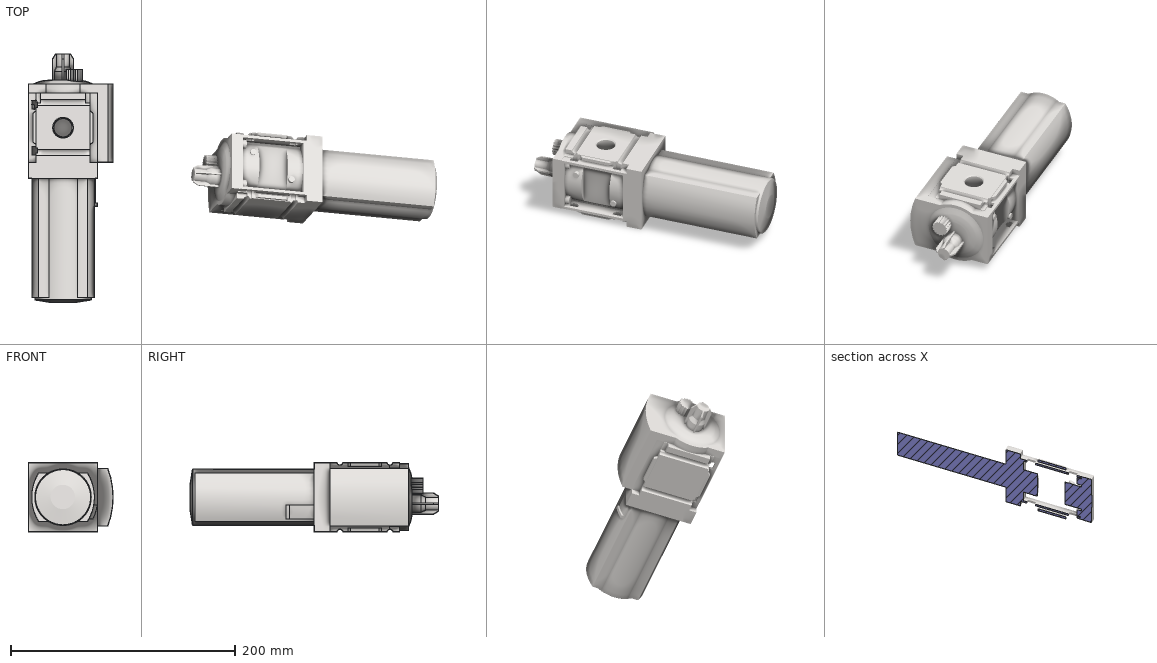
import cadquery as cq
import math

BODY_WIDTH = 62.0
HALF_WIDTH = BODY_WIDTH / 2
HEAD_LENGTH = 14.5
CORE_END = 76.4
BODY_LENGTH = 84.4
HOUSING_HALF_HEIGHT = 25.8
STRIP_HALF_HEIGHT = 25.5
CORE_HALF_WIDTH = 24.0
BAND_RADIUS = 30.0

COVER_EDGE_X = 40.0
OVERALL_WIDTH = 75.7
COVER_X = OVERALL_WIDTH - HALF_WIDTH

PORT_Y = 45.3
PORT_RADIUS = 8.2
PORT_BEVEL = 1.0
PORT_DEPTH = 17.8
GROOVE_WIDTH = 5.3
GROOVE_DEPTH = 2.2
GROOVE_CENTERS_Y = (23.0, 67.7)
NOTCH_HALF_WIDTH = 20.0
NOTCH_START = 67.5
NOTCH_FLOOR = 26.2
LEDGE_REACH = 2.9
LEDGE_BOTTOM = 27.5
LEDGE_TOP = 30.5
LEDGE_HALF_LENGTH = 15.0
LEDGE_BEVEL = 2.2

SLOT_OUTER_X = 27.8
SLOT_TIP_X = 22.6
SLOT_LENGTH = 7.8
SLOT_TIP_LENGTH = 4.7
SLOT_CENTERS_Y = (24.9, 65.7)

POCKET_START = 17.5
POCKET_END = 73.7
POCKET_HALF_HEIGHT = 23.0
POCKET_FLOOR_X = -19.3
DRUM_RADIUS = 28.9
WINDOW_FLOOR_X = -21.5
WINDOW_START = 31.3
WINDOW_END = 58.0
PIN_RADIUS = 5.5 / 2
PIN_TIP_X = -28.9
PIN_OFFSET_Y = 17.8
PIN_OFFSET_Z = 11.0
STUD_RADIUS = 4.0
STUD_LENGTH = 4.0
STUD_X = -24.9
STUD_Z = 18.9

BOWL_RADIUS = 50.5 / 2
BOWL_END = -110.8
BOWL_RIM = -108.5
BOWL_CHAMFER = 0.55
BOWL_TIP_RADIUS = 10.9
GUARD_END = -106.3
GUARD_HALF_WIDTH = 28.0
GUARD_HALF_FLAT = 21.8
GUARD_SAGITTA = GUARD_HALF_WIDTH - GUARD_HALF_FLAT
GUARD_RADIUS = (GUARD_HALF_FLAT**2 + GUARD_SAGITTA**2) / (2 * GUARD_SAGITTA)
GUARD_CENTER_X = GUARD_HALF_WIDTH - GUARD_RADIUS

LATCH_TOP = -6.9
LATCH_BOTTOM = -19.3
LATCH_THICKNESS = 1.5
LATCH_LIP_THICKNESS = 3.0
LATCH_LIP_START = -21.8
LATCH_END = -24.9

DOME_RADIUS = 26.6
DOME_FLAT_RADIUS = 13.3
DOME_TOP = 87.7
DOME_MIDDLE_RADIUS = 19.8
DOME_MIDDLE_Y = 86.8
KNOB_Z = -5.8
KNOB_END = 111.2
KNOB_TIP_RADIUS = 5.8
KNOB_BASE_RADIUS = 7.8
KNOB_CONE_START = 95.7
KNOB_CONE_END = 99.7
FIN_HALF_WIDTH = 9.5
FIN_THICKNESS = 1.5
FIN_BEVEL_WIDTH = 2.9
FIN_BEVEL_LENGTH = 4.7
KNURL_OFFSET = 10.0
KNURL_RADIUS = 7.3
KNURL_END = 97.5
KNURL_TEETH = 16
KNURL_TOOTH_DEPTH = 1.0


def block(x0, x1, y0, y1, z0, z1):
    """Box between opposite corner coordinates."""
    return cq.Workplane("XY").box(x1 - x0, y1 - y0, z1 - z0, centered=False).translate((x0, y0, z0))


def section_at(y):
    """Plane across the bowl axis: local x is X, local y is Z, positive extrusion runs toward -Y."""
    return cq.Workplane(cq.Plane(origin=(0, y, 0), xDir=(1, 0, 0), normal=(0, -1, 0)))


def rod(radius, y0, y1, x=0.0, z=0.0):
    """Cylinder along Y."""
    return section_at(y0).center(x, z).circle(radius).extrude(y0 - y1)


def mirrored(shape, plane):
    return shape.union(shape.mirror(plane))


def revolved_about_y(profile):
    return profile.close().revolve(360, (0, 0, 0), (0, 1, 0))


def make_housing():
    """Housing with the domed side cover, the square head and the rounded rear band."""
    housing = (
        section_at(HEAD_LENGTH)
        .moveTo(-HALF_WIDTH, -HOUSING_HALF_HEIGHT)
        .lineTo(COVER_EDGE_X, -HOUSING_HALF_HEIGHT)
        .threePointArc((COVER_X, 0), (COVER_EDGE_X, HOUSING_HALF_HEIGHT))
        .lineTo(-HALF_WIDTH, HOUSING_HALF_HEIGHT)
        .close()
        .extrude(HEAD_LENGTH - BODY_LENGTH)
    )
    head = block(-HALF_WIDTH, HALF_WIDTH, 0, HEAD_LENGTH, -HALF_WIDTH, HALF_WIDTH)
    band = rod(BAND_RADIUS, CORE_END, BODY_LENGTH)
    sunk_strip = block(
        -HALF_WIDTH, HALF_WIDTH, HEAD_LENGTH, CORE_END, STRIP_HALF_HEIGHT, HALF_WIDTH
    )
    return housing.union(band).cut(mirrored(sunk_strip, "XY")).union(head)


def make_core():
    """Raised core, the same on +Z and -Z, with grooves, rear notches and ledges."""
    core = block(
        -CORE_HALF_WIDTH, CORE_HALF_WIDTH, HEAD_LENGTH, CORE_END, -HALF_WIDTH, HALF_WIDTH
    )
    notch = block(
        NOTCH_HALF_WIDTH, HALF_WIDTH, NOTCH_START, CORE_END, NOTCH_FLOOR, HALF_WIDTH
    )
    core = core.cut(mirrored(mirrored(notch, "YZ"), "XY"))

    for y in GROOVE_CENTERS_Y:
        groove = (
            cq.Workplane("YZ", origin=(-CORE_HALF_WIDTH, 0, 0))
            .moveTo(y - GROOVE_WIDTH / 2, HALF_WIDTH)
            .threePointArc((y, HALF_WIDTH - GROOVE_DEPTH), (y + GROOVE_WIDTH / 2, HALF_WIDTH))
            .close()
            .extrude(2 * CORE_HALF_WIDTH)
        )
        core = core.cut(mirrored(groove, "XY"))

    ledge_x = CORE_HALF_WIDTH + LEDGE_REACH
    ledge_tip = LEDGE_HALF_LENGTH - LEDGE_BEVEL
    ledge = (
        cq.Workplane("XY", origin=(0, PORT_Y, LEDGE_BOTTOM))
        .polyline([
            (0, -LEDGE_HALF_LENGTH),
            (CORE_HALF_WIDTH, -LEDGE_HALF_LENGTH),
            (ledge_x, -ledge_tip),
            (ledge_x, ledge_tip),
            (CORE_HALF_WIDTH, LEDGE_HALF_LENGTH),
            (0, LEDGE_HALF_LENGTH),
        ])
        .close()
        .extrude(LEDGE_TOP - LEDGE_BOTTOM)
    )
    core = core.union(mirrored(mirrored(ledge, "YZ"), "XY"))
    return core


def make_slots():
    """T-shaped slots into the pocket from +Z and -Z, level with the core grooves."""
    slots = cq.Workplane("XY")
    for y in SLOT_CENTERS_Y:
        wide = block(
            -SLOT_OUTER_X, -CORE_HALF_WIDTH, y - SLOT_LENGTH / 2, y + SLOT_LENGTH / 2,
            POCKET_HALF_HEIGHT, HALF_WIDTH,
        )
        tip = block(
            -SLOT_OUTER_X, -SLOT_TIP_X, y - SLOT_TIP_LENGTH / 2, y + SLOT_TIP_LENGTH / 2,
            POCKET_HALF_HEIGHT, HALF_WIDTH,
        )
        slots = slots.union(mirrored(wide.union(tip), "XY"))
    return slots


def make_port():
    """Blind port in the +Z face with a bevelled mouth."""
    bore = (
        cq.Workplane("XY", origin=(0, PORT_Y, HALF_WIDTH - PORT_DEPTH))
        .circle(PORT_RADIUS)
        .extrude(PORT_DEPTH)
    )
    mouth = (
        cq.Workplane("XY", origin=(0, PORT_Y, HALF_WIDTH - PORT_BEVEL))
        .circle(PORT_RADIUS)
        .workplane(offset=PORT_BEVEL)
        .circle(PORT_RADIUS + PORT_BEVEL)
        .loft()
    )
    return bore.union(mouth)


def make_pocket():
    """Space removed from the -X side around the drum, its pins and its studs."""
    middle_y = (POCKET_START + POCKET_END) / 2
    pocket = block(
        -HALF_WIDTH, POCKET_FLOOR_X, POCKET_START, POCKET_END,
        -POCKET_HALF_HEIGHT, POCKET_HALF_HEIGHT,
    )
    window = block(
        -HALF_WIDTH, WINDOW_FLOOR_X, WINDOW_START, WINDOW_END,
        -POCKET_HALF_HEIGHT, POCKET_HALF_HEIGHT,
    )
    drum = rod(DRUM_RADIUS, POCKET_START, POCKET_END).cut(window)
    pocket = pocket.cut(drum)

    for side in (-1, 1):
        pin = (
            cq.Workplane("YZ", origin=(PIN_TIP_X, 0, 0))
            .center(middle_y + side * PIN_OFFSET_Y, side * PIN_OFFSET_Z)
            .circle(PIN_RADIUS)
            .extrude(POCKET_FLOOR_X - PIN_TIP_X)
        )
        stud = rod(STUD_RADIUS, POCKET_END - STUD_LENGTH, POCKET_END, STUD_X, side * STUD_Z)
        pocket = pocket.cut(pin).cut(stud)
    return pocket


def make_bowl():
    """Round bowl with a shallow conical end, inside a flat-sided guard."""
    bowl = revolved_about_y(
        cq.Workplane("XY").polyline([
            (0, 0),
            (BOWL_RADIUS, 0),
            (BOWL_RADIUS, BOWL_RIM + BOWL_CHAMFER),
            (BOWL_RADIUS - BOWL_CHAMFER, BOWL_RIM),
            (BOWL_TIP_RADIUS, BOWL_END),
            (0, BOWL_END),
        ])
    )
    guard = (
        section_at(GUARD_END)
        .moveTo(-GUARD_HALF_FLAT, -GUARD_HALF_FLAT)
        .lineTo(GUARD_HALF_FLAT, -GUARD_HALF_FLAT)
        .threePointArc((GUARD_HALF_WIDTH, 0), (GUARD_HALF_FLAT, GUARD_HALF_FLAT))
        .lineTo(-GUARD_HALF_FLAT, GUARD_HALF_FLAT)
        .threePointArc((-GUARD_HALF_WIDTH, 0), (-GUARD_HALF_FLAT, -GUARD_HALF_FLAT))
        .close()
        .extrude(GUARD_END)
    )
    return bowl.union(guard)


def make_latch():
    """Latch strip that follows the round side of the guard and ends in a thicker lip."""
    clip = block(0, HALF_WIDTH, LATCH_END, 0, LATCH_BOTTOM, LATCH_TOP)
    strip = rod(GUARD_RADIUS + LATCH_THICKNESS, LATCH_END, 0, GUARD_CENTER_X)
    lip = rod(GUARD_RADIUS + LATCH_LIP_THICKNESS, LATCH_END, LATCH_LIP_START, GUARD_CENTER_X)
    return strip.union(lip).intersect(clip)


def make_dome():
    """Flat-topped dome with a rounded shoulder."""
    return revolved_about_y(
        cq.Workplane("XY")
        .moveTo(0, CORE_END)
        .lineTo(DOME_RADIUS, CORE_END)
        .lineTo(DOME_RADIUS, BODY_LENGTH)
        .threePointArc((DOME_MIDDLE_RADIUS, DOME_MIDDLE_Y), (DOME_FLAT_RADIUS, DOME_TOP))
        .lineTo(0, DOME_TOP)
    )


def make_finned_knob():
    """Stepped round post with four bevelled fins."""
    post = revolved_about_y(
        cq.Workplane("XY").polyline([
            (0, BODY_LENGTH),
            (KNOB_BASE_RADIUS, BODY_LENGTH),
            (KNOB_BASE_RADIUS, KNOB_CONE_START),
            (KNOB_TIP_RADIUS, KNOB_CONE_END),
            (KNOB_TIP_RADIUS, KNOB_END),
            (0, KNOB_END),
        ])
    )
    tip = FIN_HALF_WIDTH - FIN_BEVEL_WIDTH
    shoulder = KNOB_END - FIN_BEVEL_LENGTH
    fin = (
        cq.Workplane("XY")
        .polyline([
            (-FIN_HALF_WIDTH, BODY_LENGTH),
            (FIN_HALF_WIDTH, BODY_LENGTH),
            (FIN_HALF_WIDTH, shoulder),
            (tip, KNOB_END),
            (-tip, KNOB_END),
            (-FIN_HALF_WIDTH, shoulder),
        ])
        .close()
        .extrude(FIN_THICKNESS / 2, both=True)
    )
    cross_fin = fin.rotate((0, 0, 0), (0, 1, 0), 90)
    return post.union(fin).union(cross_fin).translate((0, 0, KNOB_Z))


def make_knurled_knob():
    """Toothed knob: a star outline with alternating crest and root points."""
    outline = []
    for step in range(2 * KNURL_TEETH):
        radius = KNURL_RADIUS - KNURL_TOOTH_DEPTH * (step % 2)
        angle = math.pi * step / KNURL_TEETH
        outline.append((radius * math.cos(angle), radius * math.sin(angle)))
    return (
        section_at(BODY_LENGTH)
        .center(KNURL_OFFSET, KNURL_OFFSET)
        .polyline(outline)
        .close()
        .extrude(BODY_LENGTH - KNURL_END)
    )


body = make_housing().union(make_core()).cut(make_pocket()).cut(make_slots()).cut(make_port())
bowl = make_bowl().union(make_latch())
rear = make_dome().union(make_finned_knob()).union(make_knurled_knob())
result = body.union(bowl).union(rear)